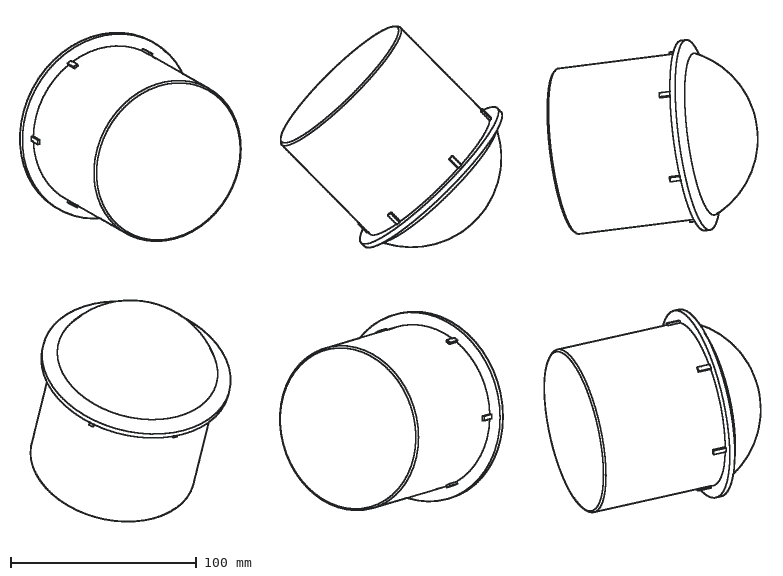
import cadquery as cq
import math

dome_base = 26.0
collar_end = 28.4
rim_start = 31.7
rim_end = 34.7
total_length = 104.7

dome_base_radius = 42.9
collar_radius = 44.0
rim_radius = 103.5 / 2
body_radius = 90.0 / 2
end_chamfer = 1.0

rib_count = 6
rib_length = 7.1
rib_width = 2.5
rib_top_radius = 46.2
rib_root_depth = 2.1

dome_radius = (dome_base**2 + dome_base_radius**2) / (2 * dome_base)
arc_mid_x = dome_base / 4
arc_mid_radius = math.sqrt(arc_mid_x * (2 * dome_radius - arc_mid_x))


def make_body():
    """Dome, collar, conical flange and cylinder, revolved about X."""
    return (
        cq.Workplane("XY")
        .moveTo(0, 0)
        .threePointArc((arc_mid_x, arc_mid_radius), (dome_base, dome_base_radius))
        .lineTo(collar_end, collar_radius)
        .lineTo(rim_start, rim_radius)
        .lineTo(rim_end, rim_radius)
        .lineTo(rim_end, body_radius)
        .lineTo(total_length - end_chamfer, body_radius)
        .lineTo(total_length, body_radius - end_chamfer)
        .lineTo(total_length, 0)
        .close()
        .revolve(360, (0, 0, 0), (1, 0, 0))
    )


def make_rib():
    """One rib on the +Y side, running back from the flange."""
    root_radius = body_radius - rib_root_depth
    return cq.Workplane("XY").box(
        rib_length, rib_top_radius - root_radius, rib_width, centered=(False, False, True)
    ).translate((rim_end, root_radius, 0))


result = make_body()
rib = make_rib()
for index in range(rib_count):
    angle = index * 360 / rib_count
    result = result.union(rib.rotate((0, 0, 0), (1, 0, 0), angle))